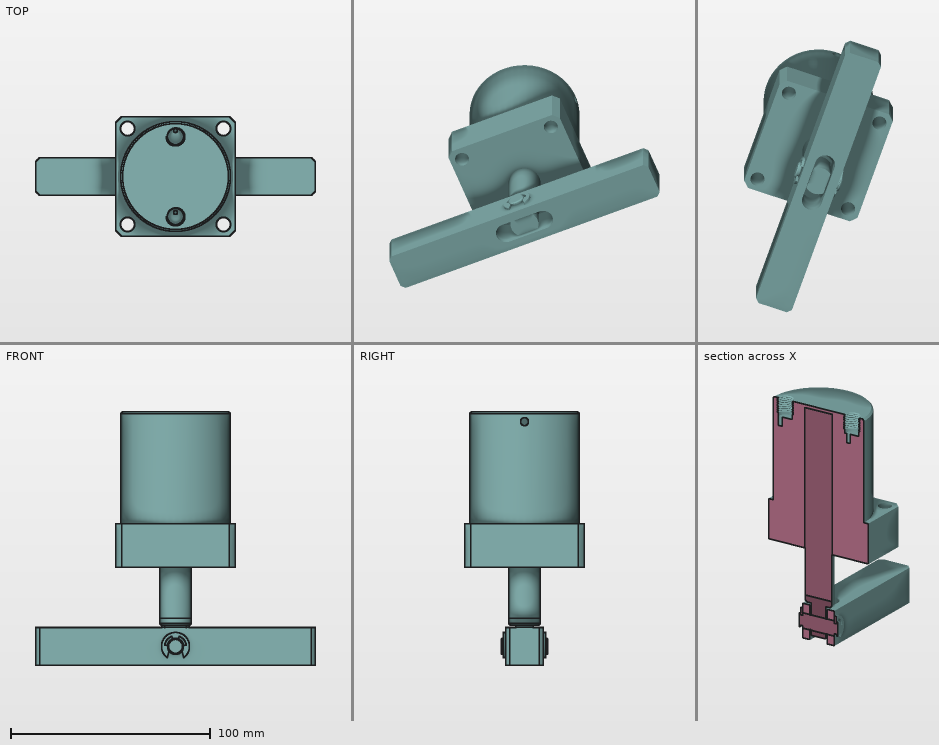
import cadquery as cq
import math

bar_length = 140.0
bar_size = 19.0
bar_corner_chamfer = 2.0
bar_slot_length = 30.0
bar_slot_width = 10.0
pivot_height = bar_size / 2

flange_size = 60.0
flange_height = 22.0
flange_bottom = 49.0
flange_top = flange_bottom + flange_height
flange_corner_chamfer = 3.0
mount_hole_diameter = 7.0
mount_hole_spacing = 48.0
barrel_diameter = 55.0
barrel_height = 56.0
barrel_top = flange_top + barrel_height
barrel_chamfer = 1.0

port_offset = 20.0
port_minor_diameter = 8.2
port_major_diameter = 9.4
port_depth = 10.0
thread_pitch = 1.0
thread_length = 8.0
thread_run_out = 1.0
thread_groove_share = 0.9
thread_overlap = 0.05
passage_diameter = 2.0
passage_depth = 5.0
passage_places = ((port_offset, 23.0), (-port_offset, -18.0))

rod_diameter = 16.0
vent_diameter = 4.0
vent_height = barrel_top - 5.0
rod_top = vent_height + vent_diameter / 2 + 1.0
rod_bottom = pivot_height + 14.0
knuckle_shoulder = pivot_height + 10.5
knuckle_chamfer = 1.0
tongue_diameter = rod_diameter - 2 * knuckle_chamfer
tongue_thickness = 9.0
tongue_bottom = pivot_height - tongue_diameter / 2

pin_diameter = 8.0
pin_length = 23.5
pin_chamfer = 0.5
clip_thickness = 1.25
clip_outer_radius = 7.0
clip_inner_radius = 3.0
clip_window_radius = 5.4
clip_window_start_angle = 6.0
clip_window_end_angle = 70.0
clip_throat_half_width = 2.75
clip_mouth_half_width = 4.4
clip_starts = (bar_size / 2, -bar_size / 2 - clip_thickness)


def cylinder_z(diameter, bottom, top, y=0.0):
    """Upright cylinder between two heights."""
    return (
        cq.Workplane("XY", origin=(0, y, bottom))
        .circle(diameter / 2)
        .extrude(top - bottom)
    )


def cylinder_y(diameter, start, length):
    """Cylinder on the pin axis, growing from Y = start towards +Y."""
    return (
        cq.Workplane("XZ", origin=(0, start, pivot_height))
        .circle(diameter / 2)
        .extrude(-length)
    )


def thread_groove(y):
    """V-shaped cutter that winds up around the bore wall and runs out above the port face."""
    minor = port_minor_diameter / 2
    crest = minor - thread_overlap
    half_groove = thread_pitch * thread_groove_share / 2
    start = barrel_top - thread_length
    helix_height = thread_length + thread_run_out
    helix = cq.Wire.makeHelix(thread_pitch, helix_height, minor, center=cq.Vector(0, y, start))
    return (
        cq.Workplane("XZ", origin=(0, y, start))
        .moveTo(crest, -half_groove)
        .lineTo(port_major_diameter / 2, 0)
        .lineTo(crest, half_groove)
        .close()
        .sweep(cq.Workplane("XY").add(helix), isFrenet=True)
    )


def make_housing():
    flange = (
        cq.Workplane("XY", origin=(0, 0, flange_bottom))
        .rect(flange_size, flange_size)
        .extrude(flange_height)
        .edges("|Z")
        .chamfer(flange_corner_chamfer)
        .faces(">Z")
        .workplane()
        .rect(mount_hole_spacing, mount_hole_spacing, forConstruction=True)
        .vertices()
        .hole(mount_hole_diameter)
    )
    barrel = cylinder_z(barrel_diameter, flange_top, barrel_top).faces(">Z").chamfer(barrel_chamfer)
    housing = flange.union(barrel)

    housing = housing.cut(cylinder_z(rod_diameter, flange_bottom, rod_top))
    vent = (
        cq.Workplane("YZ", origin=(0, 0, vent_height))
        .circle(vent_diameter / 2)
        .extrude(barrel_diameter / 2, both=True)
    )
    housing = housing.cut(vent)

    port_floor = barrel_top - port_depth
    for port_y, passage_y in passage_places:
        housing = housing.cut(thread_groove(port_y))
        housing = housing.cut(cylinder_z(port_minor_diameter, port_floor, barrel_top, y=port_y))
        passage = cylinder_z(passage_diameter, port_floor - passage_depth, port_floor, y=passage_y)
        housing = housing.cut(passage)
    return housing


def make_rod():
    return cylinder_z(rod_diameter, rod_bottom, rod_top)


def make_knuckle():
    head = cylinder_z(rod_diameter, knuckle_shoulder, rod_bottom).faces("<Z").chamfer(knuckle_chamfer)
    tongue = cylinder_z(tongue_diameter, tongue_bottom, knuckle_shoulder)
    flats = cq.Workplane("XY").box(2 * tongue_diameter, tongue_thickness, 2 * knuckle_shoulder)
    pin_hole = cylinder_y(pin_diameter, -bar_size / 2, bar_size)
    return head.union(tongue.intersect(flats)).cut(pin_hole)


def make_bar():
    bar = (
        cq.Workplane("XY")
        .rect(bar_length, bar_size)
        .extrude(bar_size)
        .edges("|Z")
        .chamfer(bar_corner_chamfer)
    )
    slot = cq.Workplane("XY").slot2D(bar_slot_length, bar_slot_width).extrude(bar_size)
    pin_hole = cylinder_y(pin_diameter, -bar_size / 2, bar_size)
    return bar.cut(slot).cut(pin_hole)


def make_pin():
    pin = cylinder_y(pin_diameter, -pin_length / 2, pin_length).faces("<Y or >Y").chamfer(pin_chamfer)
    for start in clip_starts:
        groove_ring = cylinder_y(pin_diameter, start, clip_thickness)
        groove_core = cylinder_y(2 * clip_inner_radius, start, clip_thickness)
        pin = pin.cut(groove_ring.cut(groove_core))
    return pin


def make_clip(start):
    """E-shaped retaining clip, open downwards, in the pin groove that begins at Y = start."""
    clip = cylinder_y(2 * clip_outer_radius, start, clip_thickness)
    clip = clip.cut(cylinder_y(2 * clip_inner_radius, start, clip_thickness))

    plane = cq.Workplane("XZ", origin=(0, start, pivot_height))
    mouth = (
        plane.moveTo(-clip_throat_half_width, 0)
        .lineTo(clip_throat_half_width, 0)
        .lineTo(clip_mouth_half_width, -clip_outer_radius)
        .lineTo(-clip_mouth_half_width, -clip_outer_radius)
        .close()
        .extrude(-clip_thickness)
    )
    clip = clip.cut(mouth)

    window_disc = cylinder_y(2 * clip_window_radius, start, clip_thickness)
    for side in (-1, 1):
        window_limit = plane.moveTo(0, 0)
        for angle in (clip_window_start_angle, clip_window_end_angle):
            window_limit = window_limit.lineTo(
                side * clip_outer_radius * math.cos(math.radians(angle)),
                clip_outer_radius * math.sin(math.radians(angle)),
            )
        window_limit = window_limit.close().extrude(-clip_thickness)
        clip = clip.cut(window_disc.intersect(window_limit))
    return clip


housing = make_housing()
rod = make_rod()
knuckle = make_knuckle()
bar = make_bar()
pin = make_pin()
clips = [make_clip(start) for start in clip_starts]

result = cq.Compound.makeCompound(
    [housing.val(), rod.val(), knuckle.val(), bar.val(), pin.val(), *[clip.val() for clip in clips]]
)